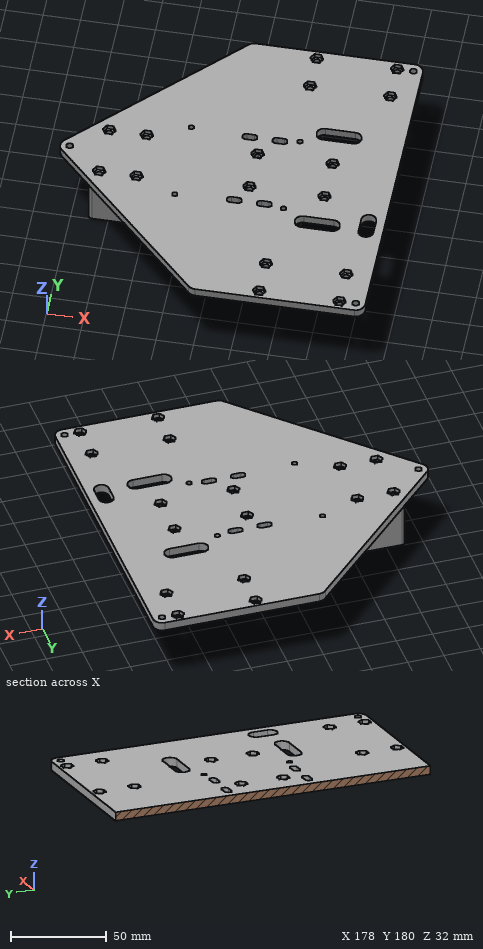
import cadquery as cq
import math

plate_length_x = 178.0
plate_width_y = 180.0
plate_thickness = 5.0
corner_radius = 5.0
half_width = plate_width_y / 2
back_x = 90.0

shoulder_x = 0.0
tip_round_x = back_x - plate_length_x + corner_radius
back_round_x = back_x - corner_radius
side_round_y = half_width - corner_radius

block_height = 27.0
block_length_x = 30.0
block_length_y = 40.0
block_center_x = -54.5
block_edge_radius = 2.0
part_height = plate_thickness + block_height

back_group_x = 54.9

screw_diameter = 3.6
nut_across_flats = 6.0
nut_across_corners = nut_across_flats / math.cos(math.pi / 6)
nut_pocket_depth = 2.5
block_screw_spacing_x = 20.0
block_screw_spacing_y = 30.0
middle_screw_spacing_x = 40.0
middle_screw_spacing_y = 24.0
middle_screw_center_x = 35.1
side_screw_spacing_x = 42.8
side_screw_spacing_y = 20.0
side_screw_center_y = 75.0

corner_hole_diameter = 3.6

board_hole_diameter = 2.9
board_hole_spacing_x = 58.0
board_hole_spacing_y = 49.0
board_center_x = 6.5

large_slot_length = 24.0
large_slot_width = 8.0
large_slot_y = 32.0
small_slot_length = 8.0
small_slot_width = 4.0
small_slot_xs = (9.0, 25.0)
small_slot_y = 23.0
cross_slot_length = 16.0
cross_slot_width = 8.0
cross_slot_center = (81.0, -29.0)


def rectangle_corners(center_x, center_y, spacing_x, spacing_y):
    return [
        (center_x + i * spacing_x / 2, center_y + j * spacing_y / 2)
        for i in (-1, 1)
        for j in (-1, 1)
    ]


def point_on_round(center_x, center_y, angle):
    return (
        center_x + corner_radius * math.cos(angle),
        center_y + corner_radius * math.sin(angle),
    )


def make_plate():
    slant_angle = math.atan2(side_round_y, shoulder_x - tip_round_x)
    slant_normal = slant_angle + math.pi / 2
    tip_middle = (math.pi + slant_normal) / 2
    shoulder_middle = (slant_normal + math.pi / 2) / 2
    half_outline = (
        cq.Workplane("XY")
        .moveTo(tip_round_x - corner_radius, 0)
        .threePointArc(
            point_on_round(tip_round_x, 0, tip_middle),
            point_on_round(tip_round_x, 0, slant_normal),
        )
        .lineTo(*point_on_round(shoulder_x, side_round_y, slant_normal))
        .threePointArc(
            point_on_round(shoulder_x, side_round_y, shoulder_middle),
            (shoulder_x, half_width),
        )
        .lineTo(back_round_x, half_width)
        .threePointArc(
            point_on_round(back_round_x, side_round_y, math.pi / 4),
            (back_x, side_round_y),
        )
        .lineTo(back_x, 0)
    )
    return half_outline.mirrorX().extrude(-plate_thickness)


def make_block():
    block = (
        cq.Workplane("XY", origin=(block_center_x, 0, -plate_thickness))
        .rect(block_length_x, block_length_y)
        .extrude(-block_height)
    )
    return block.edges("|Z").fillet(block_edge_radius)


def holes(points, diameter):
    return cq.Workplane("XY").pushPoints(points).circle(diameter / 2).extrude(-part_height)


def nut_pockets(points):
    return cq.Workplane("XY").pushPoints(points).polygon(6, nut_across_corners).extrude(-nut_pocket_depth)


def slots(points, length, width, angle=0):
    return cq.Workplane("XY").pushPoints(points).slot2D(length, width, angle).extrude(-plate_thickness)


screw_points = rectangle_corners(block_center_x, 0, block_screw_spacing_x, block_screw_spacing_y)
screw_points += rectangle_corners(middle_screw_center_x, 0, middle_screw_spacing_x, middle_screw_spacing_y)
for side in (-1, 1):
    screw_points += rectangle_corners(
        back_group_x, side * side_screw_center_y, side_screw_spacing_x, side_screw_spacing_y
    )

corner_hole_points = [
    (tip_round_x, 0),
    (back_round_x, side_round_y),
    (back_round_x, -side_round_y),
]
board_hole_points = rectangle_corners(board_center_x, 0, board_hole_spacing_x, board_hole_spacing_y)
large_slot_points = [(back_group_x, side * large_slot_y) for side in (-1, 1)]
small_slot_points = [(x, side * small_slot_y) for x in small_slot_xs for side in (-1, 1)]

result = (
    make_plate()
    .union(make_block())
    .cut(holes(screw_points, screw_diameter))
    .cut(nut_pockets(screw_points))
    .cut(holes(corner_hole_points, corner_hole_diameter))
    .cut(holes(board_hole_points, board_hole_diameter))
    .cut(slots(large_slot_points, large_slot_length, large_slot_width))
    .cut(slots(small_slot_points, small_slot_length, small_slot_width))
    .cut(slots([cross_slot_center], cross_slot_length, cross_slot_width, angle=90))
)